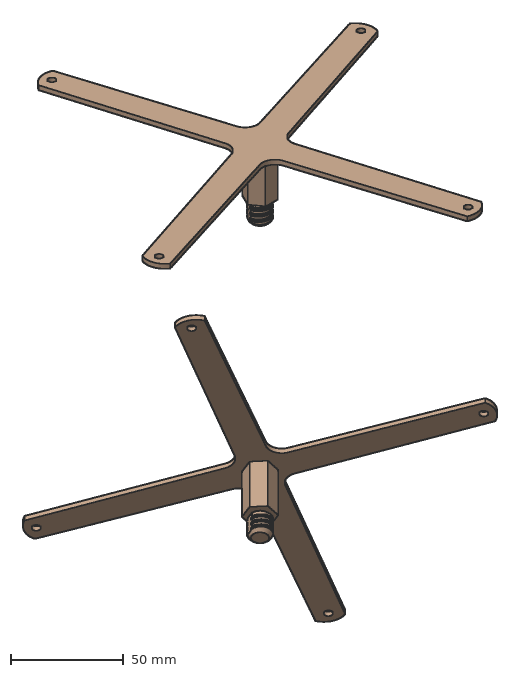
import cadquery as cq
import math

length = 174.9
width = 157.4
height = 40.2

plate_thickness = 2.6
arm_side_corner_y = 68.9
arm_end_corner_x = 77.3
tip_bulge = 2.6
crotch_x = 11.4
crotch_y = 10.5
crotch_radius = 7.3
hole_diameter = 4.0
hole_x = 80.0
hole_y = 71.7

hex_across_flats = 14.0
hex_bottom = -28.0
neck_diameter = 8.0
neck_length = 1.7
thread_diameter = 11.9
thread_root_diameter = 10.8
thread_pitch = 2.8
stud_across_flats = 10.5
stud_chamfer = 2.0
groove_root_width = 0.5
groove_mouth_width = 2.1
groove_overrun = 0.3
groove_start = 0.5
groove_half_turns = 7


def tip_arc_middle(corner_a, corner_b):
    """Highest point of a tip arc that bulges away from the plate centre."""
    middle_x = (corner_a[0] + corner_b[0]) / 2
    middle_y = (corner_a[1] + corner_b[1]) / 2
    stretch = 1 + tip_bulge / math.hypot(middle_x, middle_y)
    return (middle_x * stretch, middle_y * stretch)


def make_plate():
    """Four-armed plate with round tips, rounded crotches and a hole in each arm."""
    side_corner = (length / 2, arm_side_corner_y)
    end_corner = (arm_end_corner_x, width / 2)
    arc_middle = tip_arc_middle(side_corner, end_corner)
    outline = cq.Workplane("XY").workplane(offset=-plate_thickness).moveTo(crotch_x, 0)
    for sign_x, sign_y in [(1, 1), (-1, 1), (-1, -1), (1, -1)]:
        first, last = side_corner, end_corner
        crotch = (0, sign_y * crotch_y)
        if sign_x != sign_y:
            first, last = end_corner, side_corner
            crotch = (sign_x * crotch_x, 0)
        outline = outline.lineTo(sign_x * first[0], sign_y * first[1])
        outline = outline.threePointArc(
            (sign_x * arc_middle[0], sign_y * arc_middle[1]),
            (sign_x * last[0], sign_y * last[1]),
        )
        if (sign_x, sign_y) != (1, -1):
            outline = outline.lineTo(*crotch)
    body = outline.close().extrude(plate_thickness)

    for x, y in [(crotch_x, 0), (-crotch_x, 0), (0, crotch_y), (0, -crotch_y)]:
        point = (x, y, -plate_thickness / 2)
        body = body.edges(cq.selectors.NearestToPointSelector(point)).fillet(crotch_radius)

    holes = (
        cq.Workplane("XY")
        .rect(2 * hole_x, 2 * hole_y, forConstruction=True)
        .vertices()
        .circle(hole_diameter / 2)
        .extrude(-plate_thickness)
    )
    return body.cut(holes)


def make_thread(top, bottom):
    """Threaded stud: chamfered at the bottom, flattened on two sides, with a helical groove."""
    stud_length = top - bottom
    base = cq.Workplane("XY").workplane(offset=bottom)
    rod = base.circle(thread_diameter / 2).extrude(stud_length).faces("<Z").chamfer(stud_chamfer)
    flats = base.rect(thread_diameter, stud_across_flats).extrude(stud_length)

    root_radius = thread_root_diameter / 2
    outer_radius = thread_diameter / 2 + groove_overrun
    half_turn_path = cq.Wire.makeHelix(thread_pitch, thread_pitch / 2, root_radius)
    half_turn = (
        cq.Workplane("XZ")
        .polyline([
            (root_radius, -groove_root_width / 2),
            (outer_radius, -groove_mouth_width / 2),
            (outer_radius, groove_mouth_width / 2),
            (root_radius, groove_root_width / 2),
        ])
        .close()
        .sweep(cq.Workplane(half_turn_path), isFrenet=True)
        .rotate((0, 0, 0), (0, 0, 1), -90)
    )
    stud = rod.intersect(flats)
    for index in range(groove_half_turns):
        turned = half_turn.rotate((0, 0, 0), (0, 0, 1), 180 * index)
        rise = groove_start + index * thread_pitch / 2
        stud = stud.cut(turned.translate((0, 0, bottom + rise)))
    return stud


def make_standoff():
    """Hexagonal post under the plate, with a neck and a threaded stud below it."""
    hex_across_corners = hex_across_flats / math.cos(math.pi / 6)
    post = (
        cq.Workplane("XY")
        .workplane(offset=hex_bottom)
        .polygon(6, hex_across_corners)
        .extrude(-plate_thickness - hex_bottom)
    )
    thread_top = hex_bottom - neck_length
    neck = cq.Workplane("XY").workplane(offset=thread_top).circle(neck_diameter / 2).extrude(neck_length)
    return post.union(neck).union(make_thread(thread_top, -height))


plate = make_plate()
standoff = make_standoff()

result = cq.Compound.makeCompound([plate.solids().val(), standoff.solids().val()])